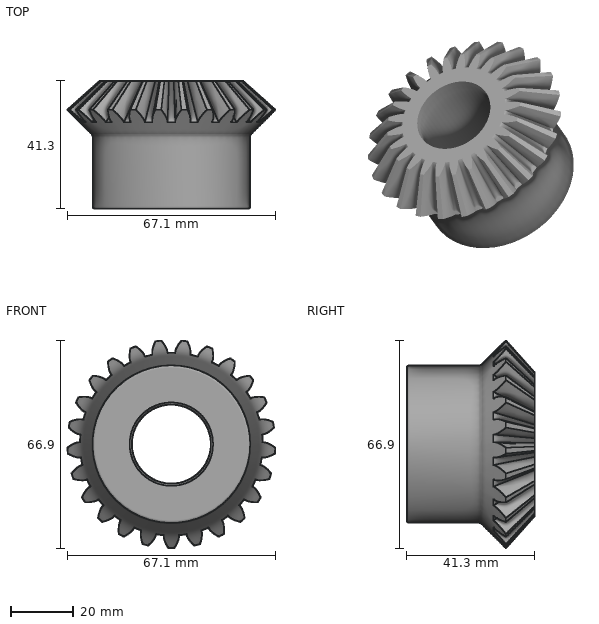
import math

import cadquery as cq

INCH = 25.4

tooth_count = 25
diametral_pitch = 10
pressure_angle = math.radians(20)
pitch_cone_angle = math.radians(45)
mounting_distance = 2.4375 * INCH
overall_length = 1.625 * INCH

hub_radius = 1.0 * INCH
bore_radius = 0.5 * INCH
hub_edge_round = 0.8
hub_neck_fillet = 1.25
bore_chamfer = 0.76

module = INCH / diametral_pitch
addendum = module
dedendum = 1.25 * module
pitch_radius = tooth_count * module / 2
pitch_cone_depth = pitch_radius / math.tan(pitch_cone_angle)
tip_radius = pitch_radius + addendum * math.cos(pitch_cone_angle)
tip_depth = pitch_cone_depth - addendum * math.sin(pitch_cone_angle)
tip_y = mounting_distance - tip_depth
face_tip_radius = tip_radius * (mounting_distance - overall_length) / tip_depth
neck_y = tip_y - (tip_radius - hub_radius) * math.tan(pitch_cone_angle)

spur_pitch_radius = pitch_radius / math.cos(pitch_cone_angle)
spur_base_radius = spur_pitch_radius * math.cos(pressure_angle)
spur_root_radius = spur_pitch_radius - dedendum
spur_pitch_angle = 2 * math.pi * math.cos(pitch_cone_angle) / tooth_count

cutter_overrun = module
cutter_large_scale = 1.1
cutter_small_scale = 0.5
involute_points = 5


def involute(angle):
    return math.tan(angle) - angle


def gap_half_angle(radius):
    """Half the gap angle of the equivalent spur gear, constant inside the base circle."""
    roll = involute(math.acos(min(1, spur_base_radius / radius)))
    return spur_pitch_angle / 4 - involute(pressure_angle) + roll


def gap_point(radius, side, scale):
    """Point of the gap outline on the plane touching the back cone, scaled about the apex."""
    angle = gap_half_angle(radius)
    across = side * radius * math.sin(angle)
    outward = radius * math.cos(angle) - spur_pitch_radius
    y = -pitch_cone_depth + outward * math.sin(pitch_cone_angle)
    z = pitch_radius + outward * math.cos(pitch_cone_angle)
    return cq.Vector(across * scale, mounting_distance + y * scale, z * scale)


def gap_outline(scale):
    """Closed gap outline: flat floor and involute flanks carried down to the root."""
    outer_radius = spur_pitch_radius + addendum + cutter_overrun
    radius_step = (outer_radius - spur_base_radius) / (involute_points - 1)
    involute_radii = [spur_base_radius + i * radius_step for i in range(involute_points)]
    left, right = (
        [gap_point(radius, side, scale) for radius in [spur_root_radius, *involute_radii]]
        for side in (-1, 1)
    )
    return cq.Wire.assembleEdges([
        cq.Edge.makeLine(left[0], right[0]),
        cq.Edge.makeSpline(right),
        cq.Edge.makeLine(right[-1], left[-1]),
        cq.Edge.makeSpline(left[::-1]),
    ])


def make_blank():
    """Turned blank with the hub, back cone, tip cone and bore."""
    half_section = [
        (bore_radius, 0),
        (hub_radius, 0),
        (hub_radius, neck_y),
        (tip_radius, tip_y),
        (face_tip_radius, overall_length),
        (bore_radius, overall_length),
    ]
    blank = cq.Workplane("XY").polyline(half_section).close().revolve(360, (0, 0, 0), (0, 1, 0))
    blank = blank.edges(cq.selectors.RadiusNthSelector(0)).edges("<Y").chamfer(bore_chamfer)
    hub_end = blank.faces("<Y").edges(cq.selectors.RadiusNthSelector(-1))
    blank = hub_end.fillet(hub_edge_round)
    neck = cq.selectors.BoxSelector(
        (-tip_radius, neck_y - hub_neck_fillet, -tip_radius),
        (tip_radius, neck_y + hub_neck_fillet, tip_radius),
    )
    return blank.edges(neck).edges("%CIRCLE").fillet(hub_neck_fillet)


def cut_teeth(blank):
    """Cut the gaps evenly around the axis, the first one centred on +Z."""
    outlines = [gap_outline(cutter_large_scale), gap_outline(cutter_small_scale)]
    cutter = cq.Solid.makeLoft(outlines, True)
    gear = blank.val()
    for i in range(tooth_count):
        turn = i * 360 / tooth_count
        gear = gear.cut(cutter.rotate(cq.Vector(0, 0, 0), cq.Vector(0, 1, 0), turn))
    return cq.Workplane("XY").newObject([gear])


result = cut_teeth(make_blank())